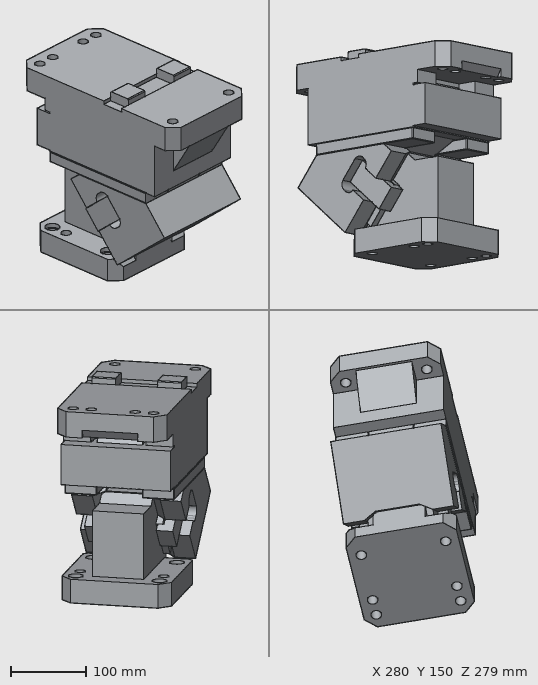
import cadquery as cq
import math

width = 150.0
corner_chamfer = 15.0
bolt_hole_dia = 14.0

plate_length = 280.0
plate_thickness = 35.0
plate_top = 270.0
plate_bottom = plate_top - plate_thickness
plate_hole_inset_x = 20.0
plate_hole_outer_y = 55.2
plate_hole_inner_y = 30.0
body_front = 47.0
body_back = 245.5
body_bottom = 158.2
nose_front = 33.3
nose_bottom = 160.0
nose_top = 215.3
gap_back = 55.5
gap_height = 2.2

slot_center_x = 169.7
slot_width = 32.0
slot_depth = 5.0
key_length = 32.8
key_offset_y = 45.0
key_top = 279.0
key_chamfer = 1.5

pocket_width = 76.2
pocket_back = 75.5
scallop_height = 10.5
gusset_slope = math.radians(59)
gusset_length = 31.5
ramp_width = 62.2
ramp_top = 227.5
ramp_slope = math.radians(40)
ramp_corner_radius = 2.2

strip_back = 229.5
strip_bottom = 142.2
strip_inner_y = 31.0
strip_chamfer = 1.0

cam_angle = math.radians(50)
cam_cos = math.cos(cam_angle)
cam_sin = math.sin(cam_angle)
cam_start_x = 94.5
cam_start_z = 130.5
cam_length = 130.5
slide_depth = 111.5
groove_mouth_width = 93.0
groove_roof_width = 59.5
groove_depth = 9.8
neck_width = 60.0
neck_start_x = 120.5
neck_start_z = 137.0
neck_slope = math.radians(26)

clamp_start = 43.7
clamp_width = 34.7
clamp_lip = -19.0
clamp_top = 49.0
clamp_inner_y = 37.8
clamp_outer_y = 60.5
relief_radius = 10.0
relief_center_spacing = 4.0
relief_inset = 1.5

base_left = 24.5
base_right = 175.5
base_height = 32.8
counterbore_dia = 20.0
counterbore_depth = 6.0
bolt_left_x = 44.5
bolt_right_x = 144.8
dowel_x = 69.5
base_hole_y = 57.5
post_left = 46.8
post_top = 123.0
post_width = 70.5
ridge_start = 2.0
rail_start = 43.7
rail_end = 111.2
rail_width = 89.0
rail_underside = -8.0

cam_origin = (cam_start_x, 0, cam_start_z)
cam_side = cq.Plane(origin=cam_origin, xDir=(cam_cos, 0, -cam_sin), normal=(0, -1, 0))
cam_section = cq.Plane(origin=cam_origin, xDir=(0, 1, 0), normal=(cam_cos, 0, -cam_sin))


def cam_point(s, d):
    """X and Z of a point given along (s) and into (d) the cam face."""
    return (
        cam_start_x + s * cam_cos + d * cam_sin,
        cam_start_z - s * cam_sin + d * cam_cos,
    )


def side_prism(points, prism_width):
    """Outline in X and Z, extruded evenly to both sides of the middle plane."""
    return cq.Workplane("XZ").polyline(points).close().extrude(prism_width / 2, both=True)


def box(x_range, y_range, z_range):
    corner = (x_range[0], y_range[0], z_range[0])
    return cq.Workplane("XY").box(
        x_range[1] - x_range[0],
        y_range[1] - y_range[0],
        z_range[1] - z_range[0],
        centered=False,
    ).translate(corner)


def cam_box(s_range, d_range, y_range):
    """Block aligned with the cam face."""
    return (
        cq.Workplane(cam_side)
        .workplane(offset=-y_range[1])
        .moveTo(s_range[0], d_range[0])
        .lineTo(s_range[1], d_range[0])
        .lineTo(s_range[1], d_range[1])
        .lineTo(s_range[0], d_range[1])
        .close()
        .extrude(y_range[1] - y_range[0])
    )


def both_sides(shape):
    """The shape together with its copy mirrored across the middle plane."""
    return shape.union(shape.mirror("XZ"))


def chamfered_plate(x_range, z_range):
    plate = box(x_range, (-width / 2, width / 2), z_range)
    return plate.edges("|Z").chamfer(corner_chamfer)


def make_top_plate():
    plate = chamfered_plate((0, plate_length), (plate_bottom, plate_top))
    left_x = plate_hole_inset_x
    right_x = plate_length - plate_hole_inset_x
    holes = [(left_x, plate_hole_outer_y), (left_x, plate_hole_inner_y), (right_x, plate_hole_outer_y)]
    holes += [(x, -y) for x, y in holes]
    drills = (
        cq.Workplane("XY", origin=(0, 0, plate_bottom))
        .pushPoints(holes)
        .circle(bolt_hole_dia / 2)
        .extrude(plate_thickness)
    )
    slot = box(
        (slot_center_x - slot_width / 2, slot_center_x + slot_width / 2),
        (-width / 2, width / 2),
        (plate_top - slot_depth, plate_top),
    )
    return plate.cut(drills).cut(slot)


def make_key():
    key = box(
        (slot_center_x - slot_width / 2, slot_center_x + slot_width / 2),
        (key_offset_y - key_length / 2, key_offset_y + key_length / 2),
        (plate_top - slot_depth, key_top),
    )
    return key.edges(">Z and |Y").chamfer(key_chamfer)


def make_holder_body():
    gap_top = nose_top + gap_height
    outline = [
        (body_front, plate_bottom),
        (body_front, gap_top),
        (gap_back, gap_top),
        (gap_back, nose_top),
        (nose_front, nose_top),
        (nose_front, nose_bottom),
        (gap_back, nose_bottom),
        (gap_back, body_bottom),
        (body_back, body_bottom),
        (body_back, plate_bottom),
    ]
    return side_prism(outline, width)


def make_holder_pocket():
    """Opening above the nose, with a sloped scallop in the front edge of the plate."""
    half = pocket_width / 2
    opening = box((nose_front, pocket_back), (-half, half), (nose_top, plate_bottom))
    scallop_run = scallop_height / math.tan(gusset_slope)
    scallop = side_prism(
        [(0, plate_bottom), (0, plate_bottom + scallop_height), (scallop_run, plate_bottom)],
        pocket_width,
    )
    return opening.union(scallop)


def make_pocket_ramp():
    ramp_run = (ramp_top - nose_top) / math.tan(ramp_slope)
    ramp = box((gap_back, pocket_back), (-ramp_width / 2, ramp_width / 2), (nose_top, ramp_top))
    ramp = ramp.edges(">Z and |X").fillet(ramp_corner_radius)
    slope_cut = side_prism(
        [(gap_back, nose_top), (gap_back, ramp_top), (gap_back + ramp_run, ramp_top)],
        ramp_width,
    )
    return ramp.cut(slope_cut)


def make_gusset():
    drop = gusset_length * math.tan(gusset_slope)
    outline = [
        (body_back, plate_bottom),
        (body_back + gusset_length, plate_bottom),
        (body_back, plate_bottom - drop),
    ]
    return side_prism(outline, pocket_width)


def make_wear_strip():
    strip = box((gap_back, strip_back), (strip_inner_y, width / 2), (strip_bottom, body_bottom))
    return strip.edges("not(>X)").chamfer(strip_chamfer)


def make_holder():
    holder = make_top_plate().union(make_holder_body()).cut(make_holder_pocket())
    holder = holder.union(make_pocket_ramp()).union(make_gusset())
    return holder.union(both_sides(make_key()))


def make_slide_block():
    block = cam_box((0, cam_length), (0, slide_depth), (-width / 2, width / 2))
    headroom = box((0, plate_length), (-width / 2, width / 2), (strip_bottom, plate_top))
    return block.cut(headroom)


def make_neck():
    """Centre block between the wear strips, with an overhanging front face."""
    overhang = (body_bottom - neck_start_z) / math.tan(neck_slope)
    outline = [
        (neck_start_x, neck_start_z),
        (neck_start_x - overhang, body_bottom),
        (strip_back, body_bottom),
        (strip_back, strip_bottom),
        (neck_start_x, strip_bottom),
    ]
    return side_prism(outline, neck_width)


def make_neck_relief():
    """Clears the slide below the overhang of the neck."""
    cut_height = strip_bottom - neck_start_z
    outline = [
        (neck_start_x, neck_start_z),
        (neck_start_x - cut_height / math.tan(neck_slope), strip_bottom),
        (cam_start_x, strip_bottom),
        cam_point(0, groove_depth),
        (neck_start_x, cam_point(0, groove_depth)[1]),
    ]
    return side_prism(outline, neck_width)


def make_groove():
    """Tapered groove along the whole cam face."""
    return (
        cq.Workplane(cam_section)
        .polyline(
            [
                (-groove_mouth_width / 2, 0),
                (-groove_roof_width / 2, groove_depth),
                (groove_roof_width / 2, groove_depth),
                (groove_mouth_width / 2, 0),
            ]
        )
        .close()
        .extrude(cam_length)
    )


def make_clamp_recess():
    """Side slot above the clamp face, with round-ended corner reliefs beside the clamp."""
    clamp_end = clamp_start + clamp_width
    relief_center_d = clamp_top - relief_radius - relief_center_spacing / 2
    slot = cam_box((clamp_start, clamp_end), (0, clamp_top), (clamp_outer_y, width / 2))
    reliefs = (
        cq.Workplane(cam_side)
        .workplane(offset=-width / 2)
        .pushPoints([(s, relief_center_d) for s in (clamp_start + relief_inset, clamp_end - relief_inset)])
        .slot2D(relief_center_spacing + 2 * relief_radius, 2 * relief_radius, 90)
        .extrude(width / 2 - clamp_inner_y)
    )
    return slot.union(reliefs)


def make_clamp():
    clamp_end = clamp_start + clamp_width
    return cam_box((clamp_start, clamp_end), (clamp_lip, clamp_top), (clamp_inner_y, clamp_outer_y))


def make_slide():
    slide = make_slide_block().cut(make_neck_relief()).union(make_neck())
    slide = slide.union(both_sides(make_wear_strip()))
    slide = slide.cut(both_sides(make_clamp_recess())).union(both_sides(make_clamp()))
    half_mouth = groove_mouth_width / 2
    rail_channel = cam_box((0, cam_length), (rail_underside, 0), (-half_mouth, half_mouth))
    return slide.cut(make_groove()).cut(rail_channel)


def make_base():
    base = chamfered_plate((base_left, base_right), (0, base_height))
    bolts = [(x, y) for x in (bolt_left_x, bolt_right_x) for y in (-base_hole_y, base_hole_y)]
    dowels = [(dowel_x, -base_hole_y), (dowel_x, base_hole_y)]
    top = base.faces(">Z").workplane(origin=(0, 0, base_height))
    base = top.pushPoints(bolts).cboreHole(bolt_hole_dia, counterbore_dia, counterbore_depth)
    top = base.faces(">Z").workplane(origin=(0, 0, base_height))
    base = top.pushPoints(dowels).hole(bolt_hole_dia)
    slide_clearance = cam_box((0, base_right), (rail_underside, slide_depth), (-width / 2, width / 2))
    return base.cut(slide_clearance)


def make_post():
    """Upright with a ridge that fills the groove of the slide."""
    ridge_foot_d = (post_top - cam_point(ridge_start, 0)[1]) / cam_cos
    ridge_end = (base_right - cam_point(0, groove_depth)[0]) / cam_cos
    outline = [
        (post_left, 0),
        (post_left, post_top),
        cam_point(ridge_start, ridge_foot_d),
        cam_point(ridge_start, groove_depth),
        cam_point(ridge_end, groove_depth),
        (base_right, 0),
    ]
    return side_prism(outline, post_width)


def make_driver(slide):
    """Base, post and rail; the rail and ridge take the exact shape of the groove."""
    rail = cam_box(
        (rail_start, rail_end),
        (rail_underside, groove_depth),
        (-rail_width / 2, rail_width / 2),
    )
    return make_base().union(make_post()).union(rail).cut(slide)


holder = make_holder()
slide = make_slide()
driver = make_driver(slide)

result = cq.Compound.makeCompound([holder.val(), slide.val(), driver.val()])